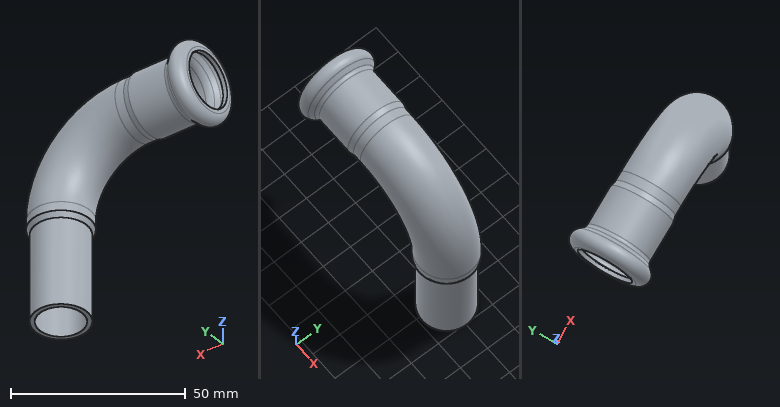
import cadquery as cq
import math

overall_height = 75.25
bead_diameter = 26.5
socket_diameter = 21.0
bend_diameter = 20.0
spigot_diameter = 18.0
bore_diameter = 15.0
bend_radius = 27.0

bead_arc_radius = 3.0
neck_fillet_radius = 1.9
socket_end = 20.9
socket_cone_end = 22.9
bend_start = 25.95

wall = 1.5

spigot_length = 30.1
spigot_cone_top = 31.9

bead_radius = bead_diameter / 2
socket_radius = socket_diameter / 2
socket_bore_radius = socket_radius - wall
bend_tube_radius = bend_diameter / 2
spigot_radius = spigot_diameter / 2
bore_radius = bore_diameter / 2
axis_height = overall_height - bead_radius
spigot_axis_x = bend_start + bend_radius
bend_end_height = axis_height - bend_radius
bead_center_radius = bead_radius - bead_arc_radius
diagonal = math.sin(math.radians(45))
half_fillet_angle = math.radians(45 / 2)


def around_socket_axis(profile):
    """Revolve an (axial, radial) profile about the socket axis."""
    turned = profile.close().revolve(360, (0, 0, 0), (1, 0, 0))
    return turned.translate((0, 0, axis_height))


def bead_and_neck(start, inset):
    """Outline from start over the bead and neck, set inward by a constant thickness."""
    arc_radius = bead_arc_radius - inset
    fillet_radius = neck_fillet_radius + inset
    end_radius = socket_radius - inset
    flank_x = bead_arc_radius + arc_radius * diagonal
    flank_radius = bead_center_radius + arc_radius * diagonal
    neck_radius = end_radius + fillet_radius * (1 - diagonal)
    neck_x = flank_x + flank_radius - neck_radius
    neck_end = neck_x + fillet_radius * diagonal
    neck_mid = (
        neck_end - fillet_radius * math.sin(half_fillet_angle),
        end_radius + fillet_radius * (1 - math.cos(half_fillet_angle)),
    )
    return (
        cq.Workplane("XZ")
        .moveTo(start, 0)
        .lineTo(bead_arc_radius - arc_radius, bead_center_radius)
        .threePointArc((bead_arc_radius, bead_center_radius + arc_radius), (flank_x, flank_radius))
        .lineTo(neck_x, neck_radius)
        .threePointArc(neck_mid, (neck_end, end_radius))
    )


def socket_body():
    """Rolled bead, filleted neck, straight socket and taper to the bend."""
    profile = (
        bead_and_neck(0, 0)
        .lineTo(socket_end, socket_radius)
        .lineTo(socket_cone_end, bend_tube_radius)
        .lineTo(bend_start, bend_tube_radius)
        .lineTo(bend_start, 0)
    )
    return around_socket_axis(profile)


def socket_cavity():
    """Seal groove following the bead, then a straight bore to a flat pipe stop."""
    profile = (
        bead_and_neck(wall, wall)
        .lineTo(socket_end, socket_bore_radius)
        .lineTo(socket_end, 0)
    )
    return around_socket_axis(profile)


def mouth():
    """Opening through the front lip of the bead."""
    return (
        cq.Workplane("YZ", origin=(0, 0, axis_height))
        .circle(socket_bore_radius)
        .extrude(bead_arc_radius)
    )


def bend(radius):
    """Quarter bend of the given tube radius, from socket axis to spigot axis."""
    return (
        cq.Workplane("YZ", origin=(bend_start, 0, axis_height))
        .circle(radius)
        .revolve(90, (-0.75, -bend_radius, 0), (0.75, -bend_radius, 0))
    )


def spigot_body():
    """Plain spigot with a taper up to the bend diameter."""
    return (
        cq.Workplane("XZ")
        .lineTo(spigot_radius, 0)
        .lineTo(spigot_radius, spigot_length)
        .lineTo(bend_tube_radius, spigot_cone_top)
        .lineTo(bend_tube_radius, bend_end_height)
        .lineTo(0, bend_end_height)
        .close()
        .revolve(360, (0, 0, 0), (0, 1, 0))
        .translate((spigot_axis_x, 0, 0))
    )


def flow_passage():
    """Constant bore through the socket, bend and spigot."""
    inlet = cq.Workplane("YZ", origin=(0, 0, axis_height)).circle(bore_radius).extrude(bend_start)
    outlet = cq.Workplane("XY", origin=(spigot_axis_x, 0, 0)).circle(bore_radius).extrude(bend_end_height)
    return inlet.union(bend(bore_radius)).union(outlet)


outside = socket_body().union(bend(bend_tube_radius)).union(spigot_body())
result = outside.cut(flow_passage()).cut(socket_cavity()).cut(mouth())